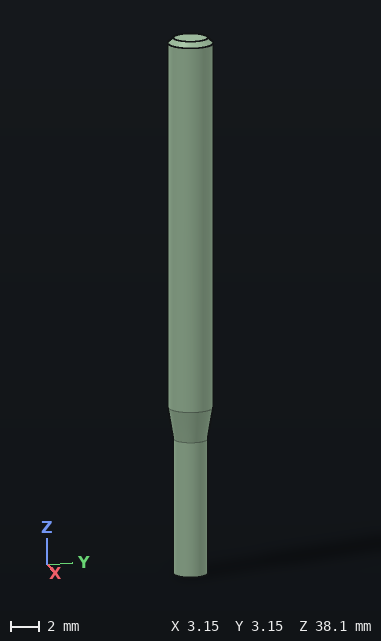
import cadquery as cq

total_length = 38.1
shank_diameter = 3.15
neck_diameter = 2.4

neck_length = 9.6
taper_length = 2.25
chamfer_size = 0.4

shank_radius = shank_diameter / 2
neck_radius = neck_diameter / 2
shank_start = neck_length + taper_length

half_profile = (
    cq.Workplane("XZ")
    .moveTo(0, 0)
    .lineTo(neck_radius, 0)
    .lineTo(neck_radius, neck_length)
    .lineTo(shank_radius, shank_start)
    .lineTo(shank_radius, total_length - chamfer_size)
    .lineTo(shank_radius - chamfer_size, total_length)
    .lineTo(0, total_length)
    .close()
)

result = half_profile.revolve(360, (0, 0, 0), (0, 1, 0))